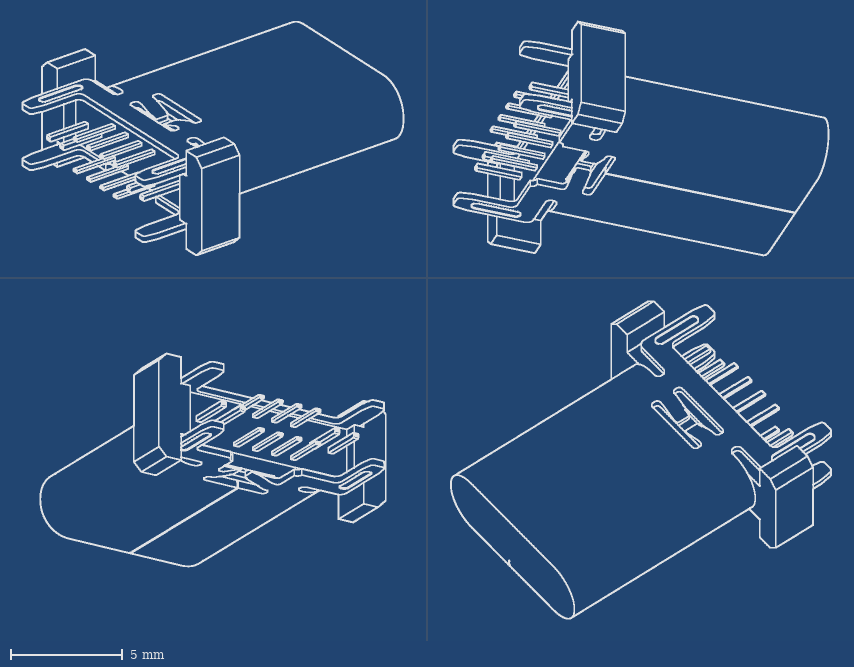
import cadquery as cq


shell_width = 9.0
shell_height = 3.16
shell_radius = 1.5
shell_length = 10.28
sheet_thickness = 0.31

block_depth = 2.12
block_span = 12.0
block_height = 5.0
block_chamfer = 0.4
block_inner_x = 4.83
core_height = 2.44
recess_width = 8.68
recess_depth = 0.65

plate_rear_y = 0.5
plate_front_y = 1.6
neck_half_width = 2.62
leg_outer_x = 4.7
leg_width = 0.91
leg_taper_y = -1.5
leg_tip_y = -2.2
leg_taper = 0.11
leg_tip_radius = 0.17
leg_inner_radius = 0.3
shoulder_radius = 0.33
neck_radius = 0.24
bead_width = 0.43
bead_length = 2.33
bead_center_y = -0.245
bead_depth = 0.05

window_half_width = 1.63
window_slot_width = 0.45
window_slot_radius = 0.18
window_rear_y = 1.61
strip_width = 0.8
bend_outer_x = 1.43
bend_inner_x = 1.27
bend_drop = 0.02
tab_end_x = 0.28
tab_end_drop = 0.38
tab_corner_radius = 0.17
pocket_depth = 0.25
pocket_half_width = 1.35
pocket_margin = 0.05
notch_mouth_radius = 0.25
seam_x = 0.25
seam_width = 0.05

pin_pitch = 1.0
pin_width = 0.25
thin_pin_height = 0.15
square_pin_height = 0.25
pin_row_z = 0.8
thin_pin_steps = (0.5, 1.5)
square_pin_steps = (2.5, 3.5)
pin_tip_y = -1.5
pin_tip_length = 0.05
pin_tip_ratio = 0.3

half_shell_height = shell_height / 2
half_core_height = core_height / 2
plate_bottom_z = half_shell_height - sheet_thickness
shell_end_y = block_depth + shell_length
leg_inner_x = leg_outer_x - leg_width
leg_center_x = leg_outer_x - leg_width / 2
strip_rear_y = window_rear_y + window_slot_width
strip_front_y = strip_rear_y + strip_width
window_front_y = strip_front_y + window_slot_width
pocket_floor_z = half_core_height - pocket_depth


def box(x_min, x_max, y_min, y_max, z_min, z_max):
    """Axis-aligned box given by its limits."""
    size = (x_max - x_min, y_max - y_min, z_max - z_min)
    return cq.Workplane("XY").box(*size, centered=False).translate((x_min, y_min, z_min))


def both_sides(shape):
    """The shape together with its copy mirrored in X."""
    return shape.union(shape.mirror("YZ"))


def make_shell():
    """Solid rounded envelope of the mating end."""
    half_width = shell_width / 2
    return (
        box(-half_width, half_width, block_depth, shell_end_y, -half_shell_height, half_shell_height)
        .edges("|Y")
        .fillet(shell_radius)
    )


def make_housing():
    """Core with a recessed rear face between two tall end blocks."""
    half_span = block_span / 2
    flange = (
        box(block_inner_x, half_span, 0, block_depth, -block_height / 2, block_height / 2)
        .edges("|Y and >X")
        .chamfer(block_chamfer)
    )
    core = box(-block_inner_x, block_inner_x, 0, block_depth, -half_core_height, half_core_height)
    half_recess = recess_width / 2
    recess = box(-half_recess, half_recess, 0, recess_depth, -half_core_height, half_core_height)
    return core.cut(recess).union(both_sides(flange))


def make_plate():
    """Upper rear plate: neck joined to the shell, crossbar and two tapered legs."""
    bar = box(-leg_outer_x, leg_outer_x, plate_rear_y, plate_front_y, plate_bottom_z, half_shell_height)
    bar = bar.edges("|Z and >Y").fillet(shoulder_radius)
    neck_blank_x = neck_half_width + neck_radius
    neck = box(-neck_blank_x, neck_blank_x, plate_rear_y, block_depth, plate_bottom_z, half_shell_height)
    leg = (
        cq.Workplane("XY", origin=(0, 0, plate_bottom_z))
        .moveTo(leg_outer_x, plate_rear_y)
        .lineTo(leg_outer_x, leg_taper_y)
        .lineTo(leg_outer_x - leg_taper, leg_tip_y)
        .lineTo(leg_inner_x + leg_taper, leg_tip_y)
        .lineTo(leg_inner_x, leg_taper_y)
        .lineTo(leg_inner_x, plate_rear_y)
        .close()
        .extrude(sheet_thickness)
        .edges("|Z and <Y")
        .fillet(leg_tip_radius)
    )
    plate = bar.union(both_sides(leg)).union(neck)
    inner_corners = cq.selectors.BoxSelector(
        (-leg_inner_x - leg_inner_radius, plate_rear_y - leg_inner_radius, 0),
        (leg_inner_x + leg_inner_radius, plate_rear_y + leg_inner_radius, half_shell_height),
    )
    plate = plate.edges("|Z").edges(inner_corners).fillet(leg_inner_radius)
    bead = (
        cq.Workplane("XY", origin=(0, 0, half_shell_height))
        .center(leg_center_x, bead_center_y)
        .slot2D(bead_length, bead_width, 90)
        .extrude(-bead_depth)
    )
    return plate.cut(both_sides(bead))


def make_side_slot():
    """Round-ended slot between the shell and the shoulder of the upper plate."""
    slot = box(
        neck_half_width, block_inner_x, plate_front_y, block_depth, half_core_height, half_shell_height
    )
    return slot.edges("|Z and <X").fillet(neck_radius)


def tab_profile():
    """Side profile of one tab: a short bend, then a ramp down towards the centre."""
    return (
        cq.Workplane("XZ", origin=(0, strip_front_y, 0))
        .moveTo(bend_outer_x, half_shell_height)
        .lineTo(bend_inner_x, half_shell_height - bend_drop)
        .lineTo(tab_end_x, half_shell_height - tab_end_drop)
    )


def make_tab():
    """Ramped tab standing on the pocket floor, on the +X side."""
    tab = (
        tab_profile()
        .lineTo(tab_end_x, pocket_floor_z)
        .lineTo(bend_outer_x, pocket_floor_z)
        .close()
        .extrude(strip_width)
    )
    return tab.edges("|Z and <X").fillet(tab_corner_radius)


def make_bend_relief():
    """Sliver removed above the bends and ramps of the tabs."""
    relief = tab_profile().lineTo(tab_end_x, half_shell_height).close().extrude(strip_width)
    return both_sides(relief)


def make_window():
    """Cutter for two cross slots and the space above two sunken spring tabs."""
    slot = box(
        -window_half_width,
        window_half_width,
        window_rear_y,
        strip_rear_y,
        half_core_height,
        half_shell_height,
    )
    slot = slot.edges("|Z").fillet(window_slot_radius)
    front_slot = slot.translate((0, strip_front_y - window_rear_y, 0))
    pocket = box(
        -pocket_half_width,
        pocket_half_width,
        strip_rear_y - pocket_margin,
        strip_front_y,
        pocket_floor_z,
        half_shell_height,
    )
    pocket = pocket.cut(both_sides(make_tab()))
    return slot.union(front_slot).union(pocket).union(make_bend_relief())


def make_rear_notch():
    """Cutter that opens the lower window to the rear edge, with a flared mouth."""
    r = notch_mouth_radius
    return (
        cq.Workplane("XY", origin=(0, 0, -half_shell_height))
        .moveTo(-window_half_width - r, plate_rear_y)
        .radiusArc((-window_half_width, plate_rear_y + r), r)
        .lineTo(-window_half_width, strip_rear_y - window_slot_radius)
        .lineTo(window_half_width, strip_rear_y - window_slot_radius)
        .lineTo(window_half_width, plate_rear_y + r)
        .radiusArc((window_half_width + r, plate_rear_y), r)
        .close()
        .extrude(half_shell_height - half_core_height)
    )


def make_seam():
    """Narrow joint in the underside of the shell."""
    return box(
        seam_x - seam_width / 2,
        seam_x + seam_width / 2,
        window_front_y - window_slot_width / 2,
        shell_end_y,
        -half_shell_height,
        -plate_bottom_z,
    )


def make_pin(x, z, height):
    """Pin with its end bevelled above and below."""
    half_height = height / 2
    half_tip = half_height * pin_tip_ratio
    bevel_y = pin_tip_y + pin_tip_length
    return (
        cq.Workplane("YZ", origin=(x, 0, z))
        .moveTo(recess_depth, half_height)
        .lineTo(bevel_y, half_height)
        .lineTo(pin_tip_y, half_tip)
        .lineTo(pin_tip_y, -half_tip)
        .lineTo(bevel_y, -half_height)
        .lineTo(recess_depth, -half_height)
        .close()
        .extrude(pin_width / 2, both=True)
    )


def add_pins(body):
    """Four thin pins in each outer row and two square pins at each end of the middle row."""
    for side in (-1, 1):
        for step in thin_pin_steps:
            for z in (-pin_row_z, pin_row_z):
                body = body.union(make_pin(side * step * pin_pitch, z, thin_pin_height))
        for step in square_pin_steps:
            body = body.union(make_pin(side * step * pin_pitch, 0, square_pin_height))
    return body


plate = make_plate()
side_slots = both_sides(make_side_slot())
window = make_window()

result = make_shell().union(make_housing())
result = result.union(plate).union(plate.mirror("XY"))
for cutter in (window, side_slots):
    result = result.cut(cutter).cut(cutter.mirror("XY"))
result = result.cut(make_rear_notch()).cut(make_seam())
result = add_pins(result)